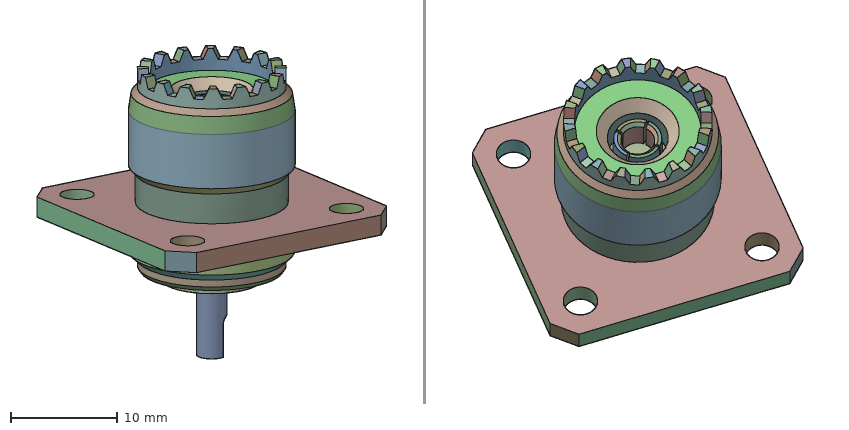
import cadquery as cq

pin_end = 0
washer_bottom = 7.25
insulator_bottom = 7.45
rim_bottom = 8.38
rim_edge_top = 8.8
rim_top = 9.48
lower_body_edge = 10.22
flange_bottom = 13.1
flange_top = 15.08
neck_top = 18.03
barrel_bottom = 18.73
barrel_top = 24.08
taper_top = 25.78
collar_base = 26.35
tooth_root = 27.25
overall_height = 28.3

pin_radius = 1.45
washer_radius = 2.07
insulator_radius = 4.75
rim_edge_radius = 6.74
rim_radius = 7.02
lower_body_radius = 7.8
neck_radius = 7.22
barrel_radius = 7.87
taper_top_radius = 7.6
collar_radius = 7.02

collar_inner_radius = 5.97
socket_face = 26.18
cone_radius = 3.9
well_radius = 2.85
cone_depth = cone_radius - well_radius
socket_floor = 22.1

contact_top = 25.02
contact_base_radius = 2.4
contact_tip_radius = 2.25
bore_radius = 1.58
bore_chamfer = 0.35
slot_width = 0.23

flange_side = 25.4
flange_corner = 2.12
hole_radius = 1.6
hole_spacing = 18.23

tooth_count = 16
gap_root_width = 0.88
gap_top_width = 1.87

flat_offset = 0.37
flat_top = 3.95
flat_corner_radius = 0.7


def revolve_profile(points):
    """Revolve an outline of (radius, height) points about the Z axis."""
    return cq.Workplane("XZ").polyline(points).close().revolve(360, (0, 0, 0), (0, 1, 0))


def turned_body():
    return revolve_profile([
        (0, pin_end),
        (pin_radius, pin_end),
        (pin_radius, washer_bottom),
        (washer_radius, washer_bottom),
        (washer_radius, insulator_bottom),
        (insulator_radius, insulator_bottom),
        (insulator_radius, rim_bottom),
        (rim_edge_radius, rim_bottom),
        (rim_radius, rim_edge_top),
        (rim_radius, rim_top),
        (lower_body_radius, lower_body_edge),
        (lower_body_radius, flange_top),
        (neck_radius, flange_top),
        (neck_radius, neck_top),
        (barrel_radius, barrel_bottom),
        (barrel_radius, barrel_top),
        (taper_top_radius, taper_top),
        (collar_radius, collar_base),
        (collar_radius, overall_height),
        (0, overall_height),
    ])


def flange():
    holes = (
        cq.Workplane("XY", origin=(0, 0, flange_bottom))
        .rect(hole_spacing, hole_spacing, forConstruction=True)
        .vertices()
        .circle(hole_radius)
        .extrude(flange_top - flange_bottom)
    )
    plate = (
        cq.Workplane("XY", origin=(0, 0, flange_bottom))
        .rect(flange_side, flange_side)
        .extrude(flange_top - flange_bottom)
        .edges("|Z")
        .chamfer(flange_corner)
    )
    return plate.cut(holes)


def socket():
    """Space inside the collar: shallow recess, conical mouth and straight well."""
    return revolve_profile([
        (0, socket_floor),
        (well_radius, socket_floor),
        (well_radius, socket_face - cone_depth),
        (cone_radius, socket_face),
        (collar_inner_radius, socket_face),
        (collar_inner_radius, overall_height),
        (0, overall_height),
    ])


def contact():
    """Tapered tube with a chamfered bore, split into four fingers by diagonal slots."""
    tube = revolve_profile([
        (bore_radius, socket_floor),
        (contact_base_radius, socket_floor),
        (contact_tip_radius, contact_top),
        (bore_radius + bore_chamfer, contact_top),
        (bore_radius, contact_top - bore_chamfer),
    ])
    slot_length = 2 * well_radius
    contact_height = contact_top - socket_floor
    for angle in (45, 135):
        slot = (
            cq.Workplane("XY", origin=(0, 0, socket_floor))
            .transformed(rotate=(0, 0, angle))
            .rect(slot_length, slot_width)
            .extrude(contact_height)
        )
        tube = tube.cut(slot)
    return tube


def tooth_gaps():
    """Evenly spaced trapezoidal notches through the collar wall, the first facing -Y."""
    gap = (
        cq.Workplane("XZ")
        .polyline([
            (-gap_root_width / 2, tooth_root),
            (gap_root_width / 2, tooth_root),
            (gap_top_width / 2, overall_height),
            (-gap_top_width / 2, overall_height),
        ])
        .close()
        .extrude(barrel_radius)
    )
    gaps = gap
    for index in range(1, tooth_count):
        gaps = gaps.union(gap.rotate((0, 0, 0), (0, 0, 1), index * 360 / tooth_count))
    return gaps


def solder_flat():
    """Block removed from the +Y side of the pin, with a rounded inner top corner."""
    width = 2 * washer_radius
    depth = washer_radius - flat_offset
    return (
        cq.Workplane("XY", origin=(0, flat_offset + depth / 2, pin_end))
        .rect(width, depth)
        .extrude(flat_top - pin_end)
        .edges("|X and >Z and <Y")
        .fillet(flat_corner_radius)
    )


result = (
    turned_body()
    .union(flange())
    .cut(socket())
    .cut(tooth_gaps())
    .union(contact())
    .cut(solder_flat())
)